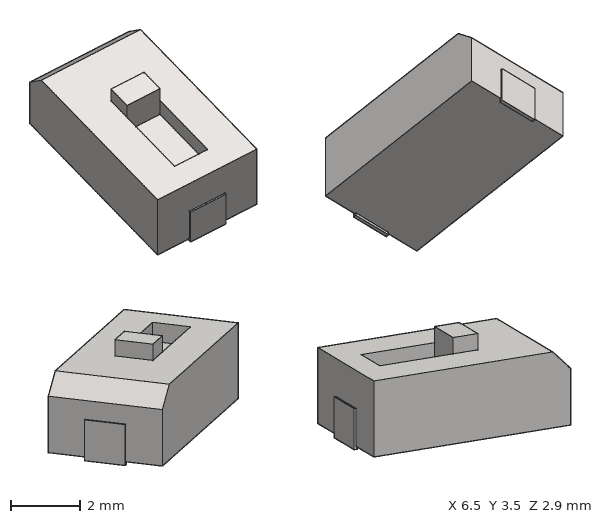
import cadquery as cq

overall_length = 6.5
overall_width = 3.5
overall_height = 2.9

terminal_thickness = 0.105
terminal_protrusion = 0.05
terminal_width = 1.25
terminal_height = 1.25

standoff = 0.1
knob_rise = 0.495
housing_length = overall_length - 2 * terminal_protrusion
housing_top = overall_height - knob_rise
housing_height = housing_top - standoff
end_chamfer = 0.585

slot_start = -0.785
slot_length = 3.18
slot_width = 1.165
slot_depth = 0.58
knob_length = 0.8
slot_floor = housing_top - slot_depth


def block(start_x, length, width, bottom, height):
    """Box starting at start_x and bottom, centred on Y."""
    return cq.Workplane("XY").box(length, width, height, centered=(False, True, False)).translate(
        (start_x, 0, bottom)
    )


def make_terminal(side):
    """Upright end plate: side is -1 for the -X end and +1 for the +X end."""
    middle_x = side * (overall_length - terminal_thickness) / 2
    return block(middle_x - terminal_thickness / 2, terminal_thickness, terminal_width, 0, terminal_height)


def make_knob():
    """Block standing on the slot floor at the -X end of the slot."""
    return block(slot_start, knob_length, slot_width, slot_floor, slot_depth + knob_rise)


def make_housing(terminals):
    """Body with a chamfered -X top edge, a slot on top and recesses for the terminals."""
    body = block(-housing_length / 2, housing_length, overall_width, standoff, housing_height)
    body = body.faces("<X").edges(">Z").chamfer(end_chamfer)
    body = body.cut(block(slot_start, slot_length, slot_width, slot_floor, slot_depth))
    for terminal in terminals:
        body = body.cut(terminal)
    return body


terminals = [make_terminal(side) for side in (-1, 1)]
knob = make_knob()
housing = make_housing(terminals)

result = cq.Compound.makeCompound([housing.val(), knob.val(), *[terminal.val() for terminal in terminals]])